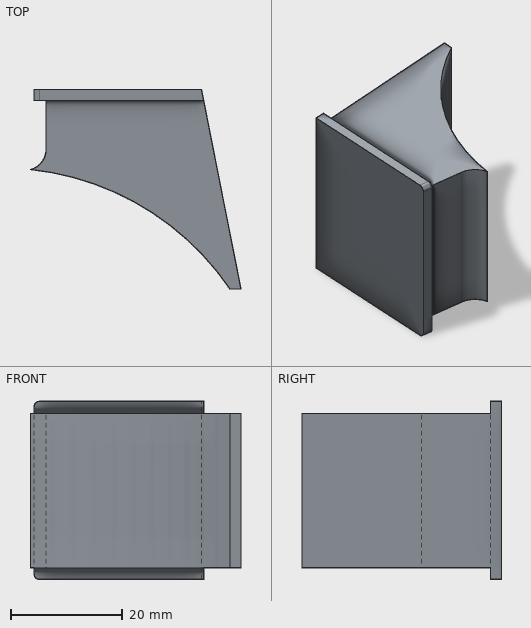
import cadquery as cq
import math

length_x = 37.84
depth_y = 35.86
flange_height = 32.0

flange_thickness = 2.0
flange_left_x = 0.65
flange_bottom_z = -flange_height / 2
flange_corner_radius = 1.0

bottom_overhang = 2.1
top_overhang = 2.2
body_height = flange_height - bottom_overhang - top_overhang
body_left_x = 2.8

slant_angle = 11.2
slant_slope = math.tan(math.radians(slant_angle))

front_arc_radius = 49.5
front_land_width = 2.0

lip_round_radius = 3.75
lip_round_start_y = -10.75


def slant_x(y):
    """X of the slanted right side at a given Y."""
    return length_x - slant_slope * (y + depth_y)


def make_flange():
    """Back plate with both left corners rounded and its right end slanted."""
    plate = (
        cq.Workplane("XY")
        .workplane(offset=flange_bottom_z)
        .moveTo(flange_left_x, 0)
        .lineTo(slant_x(0), 0)
        .lineTo(slant_x(-flange_thickness), -flange_thickness)
        .lineTo(flange_left_x, -flange_thickness)
        .close()
        .extrude(flange_height)
    )
    return plate.faces("<X").edges("|Y").fillet(flange_corner_radius)


def make_body():
    """Prism with a slanted right side, a concave front and a sharp left lip."""
    round_centre_x = body_left_x - lip_round_radius
    lip_y = lip_round_start_y - math.sqrt(lip_round_radius**2 - round_centre_x**2)
    land_left_x = length_x - front_land_width
    return (
        cq.Workplane("XY")
        .workplane(offset=flange_bottom_z + bottom_overhang)
        .moveTo(body_left_x, -flange_thickness)
        .lineTo(slant_x(-flange_thickness), -flange_thickness)
        .lineTo(length_x, -depth_y)
        .lineTo(land_left_x, -depth_y)
        .radiusArc((0, lip_y), -front_arc_radius)
        .radiusArc((body_left_x, lip_round_start_y), -lip_round_radius)
        .close()
        .extrude(body_height)
    )


result = make_flange().union(make_body())